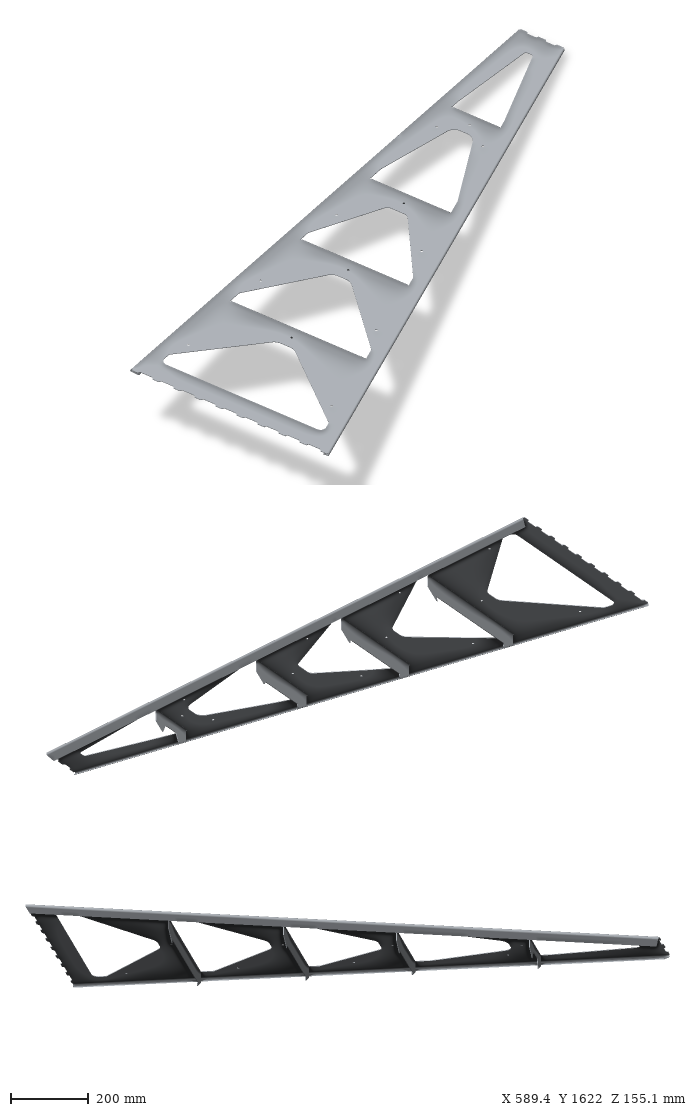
import cadquery as cq
import math

length = 1622.0
top_z = 78.0
near_half_width = 295.0
far_half_width = 68.0
sheet_tilt = 4.7
thickness = 2.0
tall = 325.0
overrun = 16.0

bend_radius = 5.0
flange_slope = 30.0
flange_depth = 21.0
fold_setback = 2.0
flange_mitre = 10.0
mitre_reach = 21.0

notch_depth = 5.8
notch_flare = 5.0
near_notch_span = 500.0
near_notch_width = 40.0
near_notch_count = 9
near_notch_pitch = near_notch_span / (near_notch_count - 1)
far_notch_pitch = 55.0
far_notch_width = 31.0
far_notch_count = 2

windows = [
    (467.0, 745.0, 11.0, 26.0, 8.0),
    (127.0, 404.0, 31.0, 47.0, 30.0),
    (-162.0, 62.0, 30.0, 32.0, 20.0),
    (-456.0, -227.0, 26.0, 39.0, 32.0),
    (-746.0, -520.0, 26.0, 37.0, 32.0),
]
window_margin = 44.0
shoulder_round = 8.0
wide_window_round = 16.0

hole_diameter = 6.0
web_hole_offset = 32.0
side_holes = [(68.0, 385.0), (127.0, -34.0), (172.0, -349.0), (213.0, -652.0)]

tabs = [
    (50.0, 28.0, 25.0),
    (54.0, 45.0, 75.0),
    (55.0, 45.0, 115.0),
    (57.0, 45.0, 159.0),
]
tab_side_gap = 3.0
tab_bend_radius = 3.9
tab_shoulder_depth = 32.0
tab_tip_slope = 0.6
tab_tip_width = 3.0

tilt = math.radians(sheet_tilt)
sheet_length = (length - thickness * math.sin(tilt)) / math.cos(tilt)
half_length = sheet_length / 2
mid_z = top_z - length / 2 * math.tan(tilt)
taper = (near_half_width - far_half_width) / sheet_length
edge_angle = math.atan(taper)
bend_inset = bend_radius / math.cos(edge_angle)
sheet_plane = cq.Plane(
    origin=(0, 0, mid_z), xDir=(1, 0, 0), normal=(0, math.sin(tilt), math.cos(tilt))
)


def on_sheet(y):
    """Distance along the tilted sheet for a given Y."""
    return y / math.cos(tilt)


def half_width(v):
    """Outer half width at distance v along the sheet."""
    return near_half_width - taper * (v + half_length)


def mirrored(points):
    """Follow a right-hand run of points with its mirror image; extra values are kept."""
    return points + [(-x, *others) for x, *others in reversed(points)]


def flat_sheet():
    """Tapered flat sheet between the two fold lines."""
    corners = [
        (near_half_width - bend_inset, -half_length),
        (far_half_width - bend_inset, half_length),
    ]
    return cq.Workplane(sheet_plane).polyline(mirrored(corners)).close().extrude(-thickness)


def side_flange():
    """Flange folded under the -X edge, with both ends mitred."""
    slope = math.radians(flange_slope)
    inner_radius = bend_radius - thickness
    fold_drop = bend_radius * (1 + math.cos(slope))
    run = (flange_depth - fold_drop) / math.sin(slope)

    def on_fold(radius, degrees):
        angle = math.radians(degrees)
        return (bend_radius + radius * math.cos(angle), -bend_radius + radius * math.sin(angle))

    def along_flange(point):
        return (point[0] + run * math.cos(slope), point[1] - run * math.sin(slope))

    end_angle = 270 - flange_slope
    mid_angle = (90 + end_angle) / 2
    outer_end = on_fold(bend_radius, end_angle)
    inner_end = on_fold(inner_radius, end_angle)

    start = sheet_plane.toWorldCoords((-near_half_width, -half_length, 0))
    edge_end = sheet_plane.toWorldCoords((-far_half_width, half_length, 0))
    edge = (edge_end - start).normalized()
    inward = edge.cross(sheet_plane.zDir)
    section_plane = cq.Plane(
        origin=(start - edge * overrun).toTuple(), xDir=inward.toTuple(), normal=(-edge).toTuple()
    )
    flange = (
        cq.Workplane(section_plane)
        .moveTo(bend_radius, 0)
        .threePointArc(on_fold(bend_radius, mid_angle), outer_end)
        .lineTo(*along_flange(outer_end))
        .lineTo(*along_flange(inner_end))
        .lineTo(*inner_end)
        .threePointArc(on_fold(inner_radius, mid_angle), (bend_radius, -thickness))
        .close()
        .extrude(-(edge_end - start).Length - 2 * overrun)
    )
    trim = (
        cq.Workplane(sheet_plane)
        .polyline([
            (-near_half_width, fold_setback - half_length),
            (mitre_reach - near_half_width, flange_mitre - half_length),
            (mitre_reach - far_half_width, half_length - flange_mitre),
            (-far_half_width, half_length - fold_setback),
        ])
        .close()
        .extrude(tall, both=True)
    )
    return flange.intersect(trim)


def window_half_width(v):
    """Half width of a window whose side runs parallel to the outer edge."""
    return half_width(v) - window_margin


def rounded_outline(corners):
    """Closed outline on the sheet through (x, y, corner radius) corners."""
    outline = cq.Workplane(sheet_plane)
    for index, (x, y, radius) in enumerate(corners):
        corner = cq.Vector(x, y)
        before = cq.Vector(*corners[index - 1][:2]) - corner
        after = cq.Vector(*corners[(index + 1) % len(corners)][:2]) - corner
        half_angle = before.getAngle(after) / 2
        setback = radius / math.tan(half_angle)
        arc_start = corner + before.normalized() * setback
        arc_end = corner + after.normalized() * setback
        bisector = (before.normalized() + after.normalized()).normalized()
        arc_middle = corner + bisector * (radius / math.sin(half_angle) - radius)
        go_to = outline.moveTo if index == 0 else outline.lineTo
        outline = go_to(arc_start.x, arc_start.y)
        if radius > 0:
            outline = outline.threePointArc((arc_middle.x, arc_middle.y), (arc_end.x, arc_end.y))
    return outline.close()


def window_cutter(lower_y, upper_y, upper_half, shoulder, upper_round, lower_round):
    """Tapered window with rounded corners."""
    lower = on_sheet(lower_y)
    shoulder_v = lower + shoulder
    corners = mirrored([
        (window_half_width(lower), lower, lower_round),
        (window_half_width(shoulder_v), shoulder_v, shoulder_round),
        (upper_half, on_sheet(upper_y), upper_round),
    ])
    return rounded_outline(corners).extrude(tall, both=True)


def edge_notches(end_v, inward, pitch, width, count):
    """Row of flared notches along an end edge; inward is +1 or -1 along the sheet."""
    floor_v = end_v + inward * notch_depth
    outer_v = end_v - inward * notch_depth
    mouth_half = width / 2 + notch_flare
    outline = mirrored([(width / 2 - notch_flare / 2, floor_v), (mouth_half, outer_v)])
    notch = cq.Workplane(sheet_plane).polyline(outline).close().extrude(thickness * 2, both=True)
    row = cq.Workplane()
    for index in range(count):
        offset = (index - (count - 1) / 2) * pitch
        row = row.add(notch.translate((offset, 0, 0)))
    return row.combine()


def hole_cutters():
    """One hole in each web and a pair beside each of the four wider windows."""
    centres = [(0, lower_y - web_hole_offset) for lower_y, *_ in windows[:-1]]
    for x, y in side_holes:
        centres += [(x, y), (-x, y)]
    return (
        cq.Workplane(sheet_plane)
        .pushPoints([(x, on_sheet(y)) for x, y in centres])
        .circle(hole_diameter / 2)
        .extrude(thickness * 2, both=True)
    )


def hanging_tab(lower_y, tip_depth, middle_depth, middle_half):
    """Vertical tab folded down from a window's lower edge."""
    lower = on_sheet(lower_y)
    base_half = window_half_width(lower) - tab_side_gap
    sheet_z = top_z - (lower_y + length / 2) * math.tan(tilt)
    diagonal = math.sqrt(0.5)
    fold_z = sheet_z - tab_bend_radius
    inner = tab_bend_radius - thickness

    strip = (
        cq.Workplane("YZ")
        .moveTo(lower_y - thickness, sheet_z)
        .lineTo(lower_y, sheet_z)
        .threePointArc(
            (lower_y + tab_bend_radius * diagonal, fold_z + tab_bend_radius * diagonal),
            (lower_y + tab_bend_radius, fold_z),
        )
        .lineTo(lower_y + tab_bend_radius, sheet_z - tip_depth)
        .lineTo(lower_y + inner, sheet_z - tip_depth)
        .lineTo(lower_y + inner, fold_z)
        .threePointArc(
            (lower_y + inner * diagonal, fold_z + inner * diagonal),
            (lower_y, sheet_z - thickness),
        )
        .lineTo(lower_y - thickness, sheet_z - thickness)
        .close()
        .extrude(base_half, both=True)
    )
    tip_half = base_half - (tip_depth - tab_shoulder_depth) / tab_tip_slope
    outline = mirrored([
        (base_half, sheet_z + thickness),
        (base_half, sheet_z - tab_shoulder_depth),
        (tip_half, sheet_z - tip_depth),
        (tip_half - tab_tip_width, sheet_z - tip_depth),
        (middle_half, sheet_z - middle_depth),
    ])
    face = cq.Workplane("XZ").polyline(outline).close().extrude(length, both=True)
    return strip.intersect(face)


flange = side_flange()
body = flat_sheet().union(flange).union(flange.mirror("YZ"))

for index, window in enumerate(windows):
    is_widest = index == len(windows) - 1
    body = body.cut(window_cutter(*window, wide_window_round if is_widest else 0))
body = body.cut(hole_cutters())
body = body.cut(edge_notches(-half_length, 1, near_notch_pitch, near_notch_width, near_notch_count))
body = body.cut(edge_notches(half_length, -1, far_notch_pitch, far_notch_width, far_notch_count))

for window, tab in zip(windows, tabs):
    body = body.union(hanging_tab(window[0], *tab))

result = body